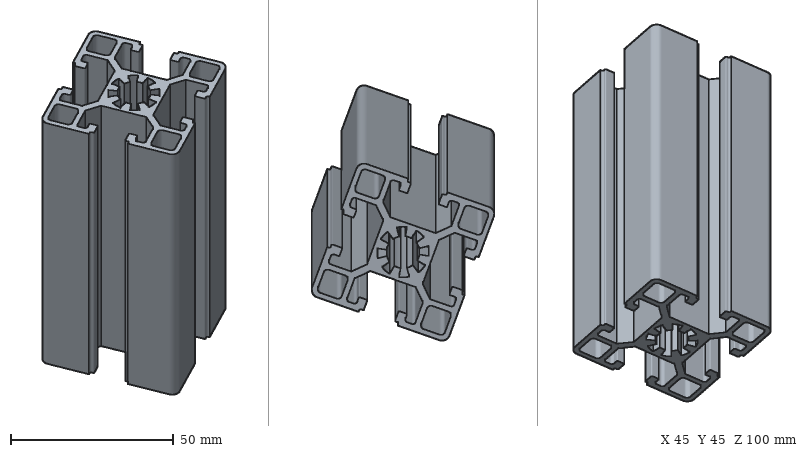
import cadquery as cq
import math

size = 45.0
length = 100.0
corner_radius = 2.5

slot_half_width = 5.1
step_half_width = 6.4
step_depth = 1.0
step_root_radius = 0.5
step_tip_radius = 0.3
lip_half_width = 7.9
lip_depth = 4.5
lip_radius = 0.3
pocket_half_width = 11.2
pocket_radius = 0.9
ceiling_thickness = 2.0
core_half_width = 9.1
web_offset = 1.7

outer_wall = 1.7
inner_wall = 1.8
chamber_radius = 1.3

tooth_count = 8
bore_radius = 8.0
tooth_tip_radius = 5.1

half = size / 2
mid_height = length / 2
overcut = 1.0


def turned(shape, angle):
    return shape.rotate((0, 0, 0), (0, 0, 1), angle)


def fillet_corner(shape, x, y, radius):
    """Round the vertical edge that stands at (x, y)."""
    corner = cq.NearestToPointSelector((x, y, mid_height))
    return shape.edges("|Z").edges(corner).fillet(radius)


def make_blank():
    blank = cq.Workplane("XY").rect(size, size).extrude(length)
    return blank.edges("|Z").fillet(corner_radius)


def make_slot():
    """Stepped slot of the +Y face, with 45 degree shoulders along the diagonal webs."""
    step_y = half - step_depth
    lip_y = half - lip_depth
    ceiling_y = half - ceiling_thickness
    right_side = [
        (step_half_width, half + overcut),
        (step_half_width, step_y),
        (slot_half_width, step_y),
        (slot_half_width, lip_y),
        (lip_half_width, lip_y),
        (lip_half_width, ceiling_y),
        (pocket_half_width, ceiling_y),
        (pocket_half_width, pocket_half_width + web_offset),
        (core_half_width - web_offset, core_half_width),
    ]
    left_side = [(-x, y) for x, y in reversed(right_side)]
    slot = cq.Workplane("XY").polyline(right_side + left_side).close().extrude(length)

    rounded_corners = [
        (step_half_width, step_y, step_root_radius),
        (slot_half_width, step_y, step_tip_radius),
        (slot_half_width, lip_y, lip_radius),
        (lip_half_width, lip_y, lip_radius),
        (lip_half_width, ceiling_y, pocket_radius),
        (pocket_half_width, ceiling_y, pocket_radius),
    ]
    for x, y, radius in rounded_corners:
        for side in (1, -1):
            slot = fillet_corner(slot, side * x, y, radius)
    return slot


def make_chamber():
    """Square hollow of the +X +Y corner."""
    inner = pocket_half_width + inner_wall
    outer = half - outer_wall
    width = outer - inner
    chamber = cq.Workplane("XY").rect(width, width, centered=False).extrude(length)
    chamber = chamber.translate((inner, inner, 0))
    return chamber.edges("|Z").fillet(chamber_radius)


def make_bore():
    """Core circle plus the sector-shaped gaps that leave the teeth standing."""
    pitch = 360 / tooth_count
    half_gap = math.radians(pitch / 4)
    end_x = bore_radius * math.cos(half_gap)
    end_y = bore_radius * math.sin(half_gap)
    gap = (
        cq.Workplane("XY")
        .lineTo(end_x, -end_y)
        .threePointArc((bore_radius, 0), (end_x, end_y))
        .close()
        .extrude(length)
    )
    bore = cq.Workplane("XY").circle(tooth_tip_radius).extrude(length)
    for index in range(tooth_count):
        bore = bore.union(turned(gap, pitch * (index + 0.5)))
    return bore


slot = make_slot()
chamber = make_chamber()
result = make_blank().cut(make_bore())
for quarter in range(4):
    result = result.cut(turned(slot, 90 * quarter))
    result = result.cut(turned(chamber, 90 * quarter))